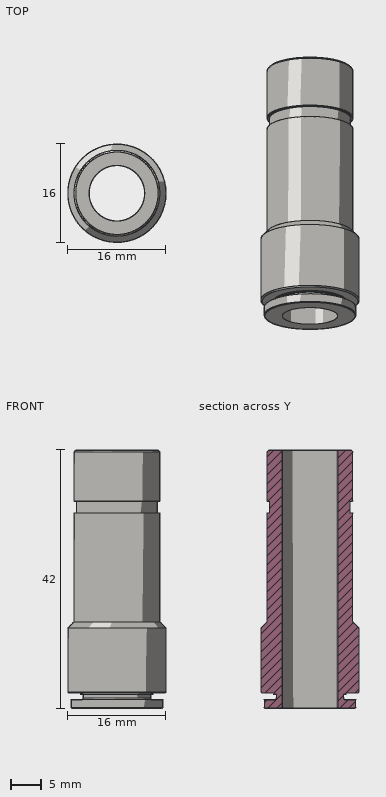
import cadquery as cq

length = 42.0
bore_diameter = 9.0

collar_diameter = 14.9
collar_height = 1.43
collar_chamfer = 0.13
neck_diameter = 11.0
neck_foot_diameter = 11.25
neck_foot_height = 0.25

body_diameter = 16.0
body_bottom = 2.48
body_top = 13.05
body_chamfer = 0.2

lip_diameter = 11.8
lip_height = 0.15

stem_diameter = 14.0
stem_chamfer = 0.3
groove_diameter = 13.2
groove_bottom = 31.8
groove_top = 33.6
groove_edge_chamfer = 0.13


def cylinder(diameter, bottom, top):
    """Solid cylinder on the Z axis between two heights."""
    return cq.Workplane("XY").workplane(offset=bottom).circle(diameter / 2).extrude(top - bottom)


def cone(bottom_diameter, top_diameter, bottom, top):
    """Solid truncated cone on the Z axis between two heights."""
    return (
        cq.Workplane("XY")
        .workplane(offset=bottom)
        .circle(bottom_diameter / 2)
        .workplane(offset=top - bottom)
        .circle(top_diameter / 2)
        .loft(ruled=True)
    )


collar = cylinder(collar_diameter, 0, collar_height).faces("<Z").edges().chamfer(collar_chamfer)
neck_foot = cone(neck_foot_diameter, neck_diameter, collar_height, collar_height + neck_foot_height)
neck = cylinder(neck_diameter, 0, body_bottom)

shoulder_height = (body_diameter - stem_diameter) / 2
body = cylinder(body_diameter, body_bottom, body_top).faces("<Z").edges().chamfer(body_chamfer)
shoulder = cone(body_diameter, stem_diameter, body_top, body_top + shoulder_height)
lip = cylinder(lip_diameter, body_bottom - lip_height, body_bottom)

lower_stem = cylinder(stem_diameter, body_top, groove_bottom)
groove_floor = cylinder(groove_diameter, groove_bottom, groove_top)
upper_stem = (
    cylinder(stem_diameter, groove_top, length)
    .faces(">Z").edges().chamfer(stem_chamfer)
    .faces("<Z").edges().chamfer(groove_edge_chamfer)
)

result = collar
for section in (neck_foot, neck, lip, body, shoulder, lower_stem, groove_floor, upper_stem):
    result = result.union(section)
result = result.cut(cylinder(bore_diameter, 0, length))